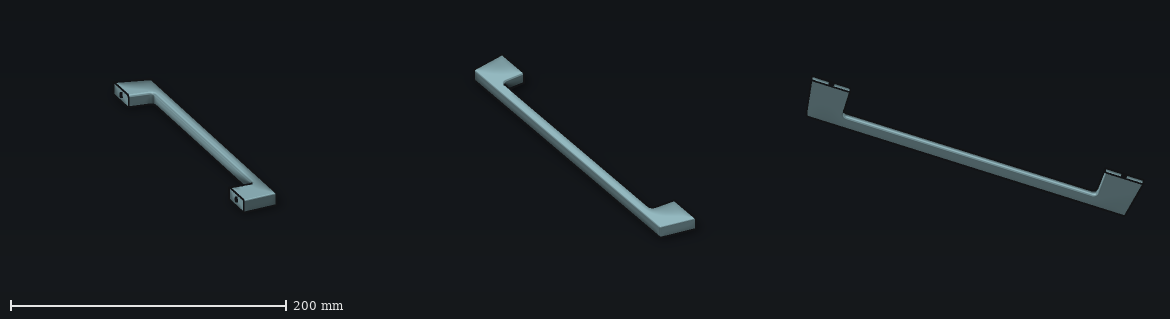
import cadquery as cq
import math

length = 254.0
depth = 28.0
height = 10.0

end_setback = 5.0
grip_thickness = 9.0
foot_width = 29.5
foot_widening = 0.6
inner_corner_radius = 3.0
end_corner_radius = 1.5

outer_edge_radius = 1.0
inner_edge_radius = 2.0

hole_spacing = 224.0
hole_diameter = 3.3
hole_depth = 15.0
drill_point_angle = 118.0

half_length = length / 2
grip_underside_y = depth - grip_thickness
grip_middle_y = depth - grip_thickness / 2
foot_inner_x = half_length - foot_width
grip_inner_x = foot_inner_x - foot_widening

opening_edges = cq.selectors.BoxSelector(
    (-foot_inner_x, 0, -height),
    (foot_inner_x, grip_middle_y, height),
)


def handle_blank():
    """U-shaped handle with its mounting faces on Y = 0 and rounded upright edges."""
    outline = [
        (-half_length, 0),
        (-half_length + end_setback, depth),
        (half_length - end_setback, depth),
        (half_length, 0),
        (foot_inner_x, 0),
        (grip_inner_x, grip_underside_y),
        (-grip_inner_x, grip_underside_y),
        (-foot_inner_x, 0),
    ]
    blank = cq.Workplane("XY").polyline(outline).close().extrude(height / 2, both=True)
    upright_edges = blank.edges("|Z").edges("not <Y")
    blank = upright_edges.edges(opening_edges).fillet(inner_corner_radius)
    return blank.edges("|Z and >Y").fillet(end_corner_radius)


def round_edges(body):
    """Round the edges of the top and bottom faces, leaving the mounting faces sharp."""
    opening_rim = body.faces("<Z or >Z").edges(opening_edges).edges("not <Y")
    rounded = opening_rim.fillet(inner_edge_radius)
    back_edges = rounded.faces(">Y").edges("|X")
    return back_edges.fillet(outer_edge_radius)


def mounting_hole(x):
    """Drilled hole with a conical bottom, entering from the mounting face."""
    radius = hole_diameter / 2
    point_length = radius / math.tan(math.radians(drill_point_angle / 2))
    profile = [
        (x, 0),
        (x + radius, 0),
        (x + radius, hole_depth),
        (x, hole_depth + point_length),
    ]
    return cq.Workplane("XY").polyline(profile).close().revolve(360, (x, 0), (x, 1))


result = round_edges(handle_blank())
for side in (-1, 1):
    result = result.cut(mounting_hole(side * hole_spacing / 2))